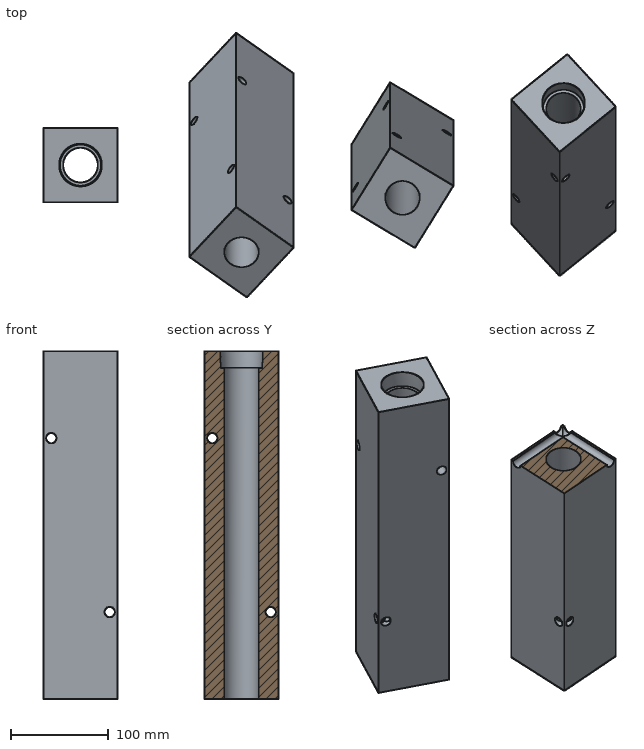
import cadquery as cq

height = 355.5
width = 76.0
edge_break = 0.25

bore_diameter = 35.2
counterbore_mouth_diameter = 43.5
counterbore_floor_diameter = 42.0
counterbore_depth = 17.0

cross_hole_diameter = 10.3
cross_hole_offset = 30.0
upper_hole_height = 0.75 * height
lower_hole_height = 0.25 * height


def make_block():
    block = cq.Workplane("XY").box(width, width, height, centered=(True, True, False))
    return block.edges().chamfer(edge_break)


def make_bore():
    return cq.Workplane("XY").circle(bore_diameter / 2).extrude(height)


def make_counterbore():
    """Cone frustum that narrows from the top face down to a flat floor."""
    floor_radius = counterbore_floor_diameter / 2
    mouth_radius = counterbore_mouth_diameter / 2
    floor_height = height - counterbore_depth
    profile = [(0, floor_height), (floor_radius, floor_height), (mouth_radius, height), (0, height)]
    return cq.Workplane("XZ").polyline(profile).close().revolve(360, (0, 0), (0, 1))


def make_cross_holes(plane, centres):
    """Holes through the full width, at (sideways, height) centres on the given plane."""
    return (
        cq.Workplane(plane)
        .pushPoints(centres)
        .circle(cross_hole_diameter / 2)
        .extrude(width / 2, both=True)
    )


holes_along_y = [(-cross_hole_offset, upper_hole_height), (cross_hole_offset, lower_hole_height)]
holes_along_x = [(cross_hole_offset, upper_hole_height), (-cross_hole_offset, lower_hole_height)]

result = (
    make_block()
    .cut(make_bore())
    .cut(make_counterbore())
    .faces(">Z").edges("%CIRCLE").chamfer(edge_break)
    .cut(make_cross_holes("XZ", holes_along_y))
    .cut(make_cross_holes("YZ", holes_along_x))
)